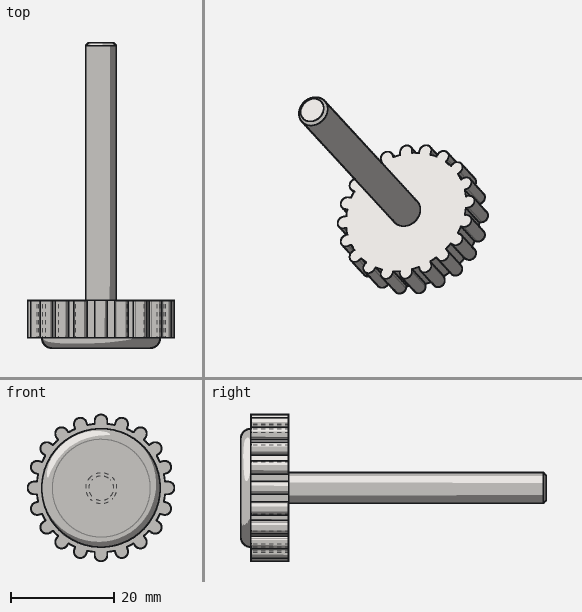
import cadquery as cq


shank_diameter = 6.0
shank_length = 50.0
tip_chamfer = 0.6

tooth_count = 20
tooth_width = 2.5
head_diameter = 28.5
root_diameter = 25.0
rim_thickness = 7.3

cap_diameter = 23.0
cap_height = 2.0
cap_edge_radius = cap_height

tooth_tip_radius = tooth_width / 2
tooth_tip_center = head_diameter / 2 - tooth_tip_radius


def disc_toward_front(diameter, start_y, thickness):
    """Round disc on the Y axis, growing from start_y toward -Y."""
    plane = cq.Workplane("XZ", origin=(0, start_y, 0))
    return plane.circle(diameter / 2).extrude(thickness)


def make_tooth():
    """One round-tipped tooth pointing along +X, running in to the axis."""
    return (
        cq.Workplane("XZ")
        .moveTo(0, -tooth_tip_radius)
        .lineTo(tooth_tip_center, -tooth_tip_radius)
        .threePointArc((head_diameter / 2, 0), (tooth_tip_center, tooth_tip_radius))
        .lineTo(0, tooth_tip_radius)
        .close()
        .extrude(rim_thickness)
    )


def make_rim():
    """Root disc with evenly spaced teeth."""
    rim = disc_toward_front(root_diameter, 0, rim_thickness)
    tooth = make_tooth()
    for index in range(tooth_count):
        angle = index * 360 / tooth_count
        rim = rim.union(tooth.rotate((0, 0, 0), (0, 1, 0), angle))
    return rim


def make_cap():
    """Dome that rounds over the full cap height to a flat front face."""
    outer_radius = cap_diameter / 2
    flat_radius = outer_radius - cap_edge_radius
    rim_front = -rim_thickness
    cap_front = rim_front - cap_height
    return (
        cq.Workplane("XY")
        .moveTo(0, rim_front)
        .lineTo(outer_radius, rim_front)
        .radiusArc((flat_radius, cap_front), cap_edge_radius)
        .lineTo(0, cap_front)
        .close()
        .revolve(360, (0, 0, 0), (0, 1, 0))
    )


def make_shank():
    """Plain round shank with a chamfered tip."""
    shank = disc_toward_front(shank_diameter, shank_length, shank_length)
    return shank.faces(">Y").chamfer(tip_chamfer)


result = make_rim().union(make_cap()).union(make_shank())